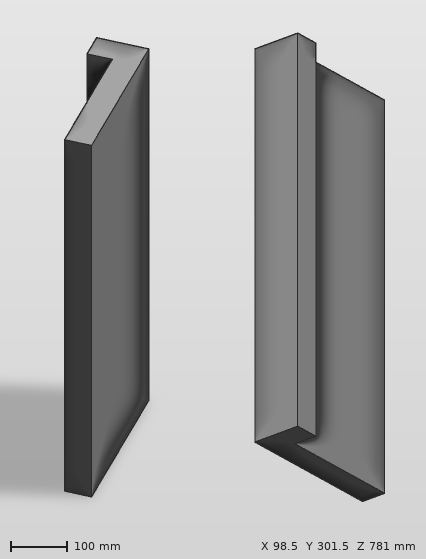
import cadquery as cq

width = 98.5
depth = 301.5
height = 781.0

wall_thickness = 51.0

plate = cq.Workplane("XY").box(wall_thickness, depth, height, centered=False)
plate = plate.translate((width - wall_thickness, 0, 0))

lip = cq.Workplane("XY").box(width, wall_thickness, height, centered=False)
lip = lip.translate((0, depth - wall_thickness, 0))

result = plate.union(lip).clean()